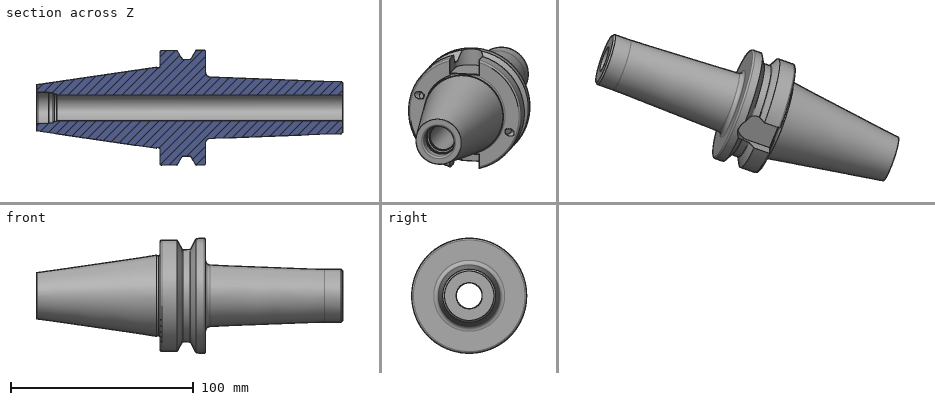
import cadquery as cq
import math


TAPER_LENGTH = 65.4
GAUGE_DIAMETER = 44.45
TAPER_RATIO = 7 / 24
SMALL_END_DIAMETER = GAUGE_DIAMETER - TAPER_LENGTH * TAPER_RATIO
NECK_DIAMETER = 43.8
NECK_FILLET_RADIUS = 0.8

FLANGE_GAP = 2.0
FLANGE_WIDTH = 25.0
FLANGE_DIAMETER = 63.0
FLANGE_EDGE_RADIUS = 1.0
FLANGE_FRONT_X = TAPER_LENGTH + FLANGE_GAP
FLANGE_BACK_X = FLANGE_FRONT_X + FLANGE_WIDTH
GAUGE_TO_GROOVE = 16.5
GROOVE_CENTRE_X = TAPER_LENGTH + GAUGE_TO_GROOVE
GROOVE_FLOOR_DIAMETER = 53.0
GROOVE_FLOOR_WIDTH = 4.4
GROOVE_FLANK_ANGLE = 30.0
GROOVE_CORNER_RADIUS = 0.4

NOSE_PROJECTION = 102.0
NOSE_ROOT_DIAMETER = 33.8
NOSE_END_DIAMETER = 29.0
NOSE_END_LENGTH = 10.0
NOSE_ROOT_RADIUS = 2.5
NOSE_END_CHAMFER = 1.0
OVERALL_LENGTH = TAPER_LENGTH + NOSE_PROJECTION

BORE_DIAMETER = 14.0
PILOT_DIAMETER = 17.0
PILOT_DEPTH = 6.6
MOUTH_RADIUS = 1.0
STEP_DIAMETER = 16.4
STEP_DEPTH = 9.0
SEAT_DIAMETER = 14.8
SEAT_DEPTH = 10.8

SLOT_WIDTH = 16.1
SLOT_END_X = 88.9
SLOT_FLOOR_RADIUS = 22.5
SLOT_EDGE_CHAMFER = 0.4
CHAMFER_ANGLE = 45.0

COOLANT_DIAMETER = 4.0
COOLANT_CIRCLE_RADIUS = 26.9
COOLANT_CLOCK_ANGLE = 20.0
COOLANT_SLOPE = 40.0
COOLANT_DEPTH = 2.0


def make_body():
    """Revolve the outer profile of taper, flange and nose around X."""
    flange_r = FLANGE_DIAMETER / 2
    groove_r = GROOVE_FLOOR_DIAMETER / 2
    neck_r = NECK_DIAMETER / 2
    root_r = NOSE_ROOT_DIAMETER / 2
    nose_r = NOSE_END_DIAMETER / 2
    half_floor = GROOVE_FLOOR_WIDTH / 2
    half_mouth = half_floor + (flange_r - groove_r) * math.tan(math.radians(GROOVE_FLANK_ANGLE))
    edge = FLANGE_EDGE_RADIUS
    return (
        cq.Workplane("XY")
        .moveTo(0, 0)
        .lineTo(0, SMALL_END_DIAMETER / 2)
        .lineTo(TAPER_LENGTH, GAUGE_DIAMETER / 2)
        .lineTo(TAPER_LENGTH, neck_r)
        .lineTo(FLANGE_FRONT_X - NECK_FILLET_RADIUS, neck_r)
        .radiusArc((FLANGE_FRONT_X, neck_r + NECK_FILLET_RADIUS), -NECK_FILLET_RADIUS)
        .lineTo(FLANGE_FRONT_X, flange_r - edge)
        .radiusArc((FLANGE_FRONT_X + edge, flange_r), edge)
        .lineTo(GROOVE_CENTRE_X - half_mouth, flange_r)
        .lineTo(GROOVE_CENTRE_X - half_floor, groove_r)
        .lineTo(GROOVE_CENTRE_X + half_floor, groove_r)
        .lineTo(GROOVE_CENTRE_X + half_mouth, flange_r)
        .lineTo(FLANGE_BACK_X - edge, flange_r)
        .radiusArc((FLANGE_BACK_X, flange_r - edge), edge)
        .lineTo(FLANGE_BACK_X, root_r + NOSE_ROOT_RADIUS)
        .radiusArc((FLANGE_BACK_X + NOSE_ROOT_RADIUS, root_r), -NOSE_ROOT_RADIUS)
        .lineTo(OVERALL_LENGTH - NOSE_END_LENGTH, nose_r)
        .lineTo(OVERALL_LENGTH - NOSE_END_CHAMFER, nose_r)
        .lineTo(OVERALL_LENGTH, nose_r - NOSE_END_CHAMFER)
        .lineTo(OVERALL_LENGTH, 0)
        .close()
        .revolve(360, (0, 0, 0), (1, 0, 0))
    )


def round_groove_corners(body):
    """Fillet the two circular edges at the floor of the V-groove."""
    half_floor = GROOVE_FLOOR_WIDTH / 2
    for corner_x in (GROOVE_CENTRE_X - half_floor, GROOVE_CENTRE_X + half_floor):
        corner_edge = cq.selectors.NearestToPointSelector((corner_x, 0, 0))
        body = body.edges("%CIRCLE").edges(corner_edge).fillet(GROOVE_CORNER_RADIUS)
    return body


def make_bore():
    """Through bore that steps down in 45-degree cones from the taper end."""
    bore_r = BORE_DIAMETER / 2
    pilot_r = PILOT_DIAMETER / 2
    step_r = STEP_DIAMETER / 2
    seat_r = SEAT_DIAMETER / 2
    return (
        cq.Workplane("XY")
        .moveTo(0, 0)
        .lineTo(0, pilot_r + MOUTH_RADIUS)
        .radiusArc((MOUTH_RADIUS, pilot_r), -MOUTH_RADIUS)
        .lineTo(PILOT_DEPTH, pilot_r)
        .lineTo(PILOT_DEPTH + pilot_r - step_r, step_r)
        .lineTo(STEP_DEPTH, step_r)
        .lineTo(STEP_DEPTH + step_r - seat_r, seat_r)
        .lineTo(SEAT_DEPTH, seat_r)
        .lineTo(SEAT_DEPTH + seat_r - bore_r, bore_r)
        .lineTo(OVERALL_LENGTH, bore_r)
        .lineTo(OVERALL_LENGTH, 0)
        .close()
        .revolve(360, (0, 0, 0), (1, 0, 0))
    )


def make_drive_slot():
    """Round-ended slot on the +Z side, with a chamfered mouth in the flange face."""
    half_width = SLOT_WIDTH / 2
    slot_height = FLANGE_DIAMETER / 2
    arc_start_x = SLOT_END_X - half_width
    slot = (
        cq.Workplane("XY", origin=(0, 0, SLOT_FLOOR_RADIUS))
        .moveTo(TAPER_LENGTH, -half_width)
        .lineTo(arc_start_x, -half_width)
        .threePointArc((SLOT_END_X, 0), (arc_start_x, half_width))
        .lineTo(TAPER_LENGTH, half_width)
        .close()
        .extrude(slot_height)
    )
    mouth = (
        cq.Workplane("YZ", origin=(FLANGE_FRONT_X, 0, SLOT_FLOOR_RADIUS + slot_height / 2))
        .rect(SLOT_WIDTH + 2 * SLOT_EDGE_CHAMFER, slot_height + 2 * SLOT_EDGE_CHAMFER)
        .extrude(SLOT_EDGE_CHAMFER, taper=CHAMFER_ANGLE)
    )
    return slot.union(mouth)


def make_coolant_hole():
    """Blind hole on the +Y side that slopes inward from the flange face."""
    slope = math.radians(COOLANT_SLOPE)
    direction = cq.Vector(math.cos(slope), -math.sin(slope), 0)
    mouth = cq.Vector(FLANGE_FRONT_X, COOLANT_CIRCLE_RADIUS, 0)
    lead_in = COOLANT_DIAMETER
    start = mouth - direction * lead_in
    hole = cq.Solid.makeCylinder(COOLANT_DIAMETER / 2, lead_in + COOLANT_DEPTH, start, direction)
    return cq.Workplane(obj=hole).rotate((0, 0, 0), (1, 0, 0), COOLANT_CLOCK_ANGLE)


result = round_groove_corners(make_body()).cut(make_bore())
drive_slot = make_drive_slot()
coolant_hole = make_coolant_hole()
for half_turn in (0, 180):
    result = result.cut(drive_slot.rotate((0, 0, 0), (1, 0, 0), half_turn))
    result = result.cut(coolant_hole.rotate((0, 0, 0), (1, 0, 0), half_turn))